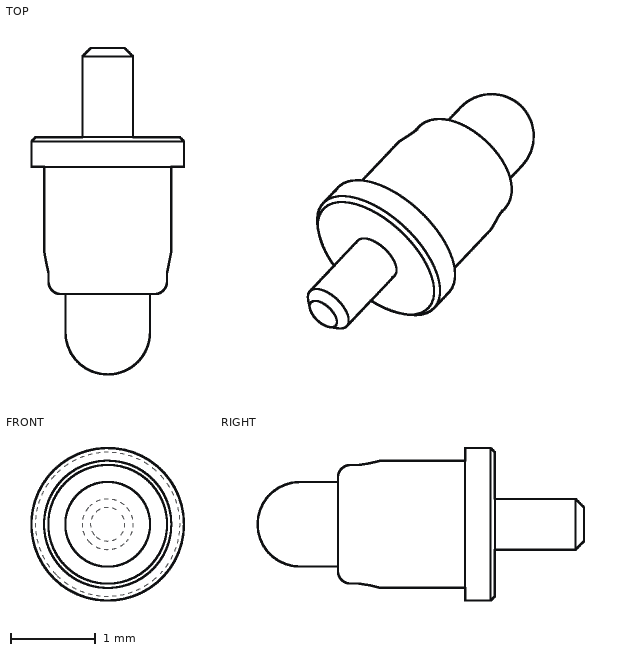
import cadquery as cq
import math


tail_radius = 0.3
flange_radius = 0.9
body_radius = 0.75
nose_radius = 0.7
plunger_radius = 0.5

total_length = 3.85
tail_length = 1.05
flange_thickness = 0.35
body_length = 1.0
taper_length = 0.25
nose_length = 0.1

tail_chamfer = 0.1
flange_chamfer = 0.05
nose_fillet = 0.15

tip_y = -total_length / 2
tail_end_y = total_length / 2
dome_y = tip_y + plunger_radius
flange_back_y = tail_end_y - tail_length
flange_front_y = flange_back_y - flange_thickness
taper_start_y = flange_front_y - body_length
taper_end_y = taper_start_y - taper_length
fillet_start_y = taper_end_y - nose_length
nose_face_y = fillet_start_y - nose_fillet

half_arc = math.sqrt(0.5)
dome_mid = (plunger_radius * half_arc, dome_y - plunger_radius * half_arc)
nose_face_radius = nose_radius - nose_fillet
fillet_mid = (nose_face_radius + nose_fillet * half_arc, fillet_start_y - nose_fillet * half_arc)

profile = (
    cq.Workplane("XY")
    .moveTo(0, tip_y)
    .threePointArc(dome_mid, (plunger_radius, dome_y))
    .lineTo(plunger_radius, nose_face_y)
    .lineTo(nose_face_radius, nose_face_y)
    .threePointArc(fillet_mid, (nose_radius, fillet_start_y))
    .lineTo(nose_radius, taper_end_y)
    .lineTo(body_radius, taper_start_y)
    .lineTo(body_radius, flange_front_y)
    .lineTo(flange_radius, flange_front_y)
    .lineTo(flange_radius, flange_back_y - flange_chamfer)
    .lineTo(flange_radius - flange_chamfer, flange_back_y)
    .lineTo(tail_radius, flange_back_y)
    .lineTo(tail_radius, tail_end_y - tail_chamfer)
    .lineTo(tail_radius - tail_chamfer, tail_end_y)
    .lineTo(0, tail_end_y)
    .close()
)

result = profile.revolve(360, (0, 0, 0), (0, 1, 0))